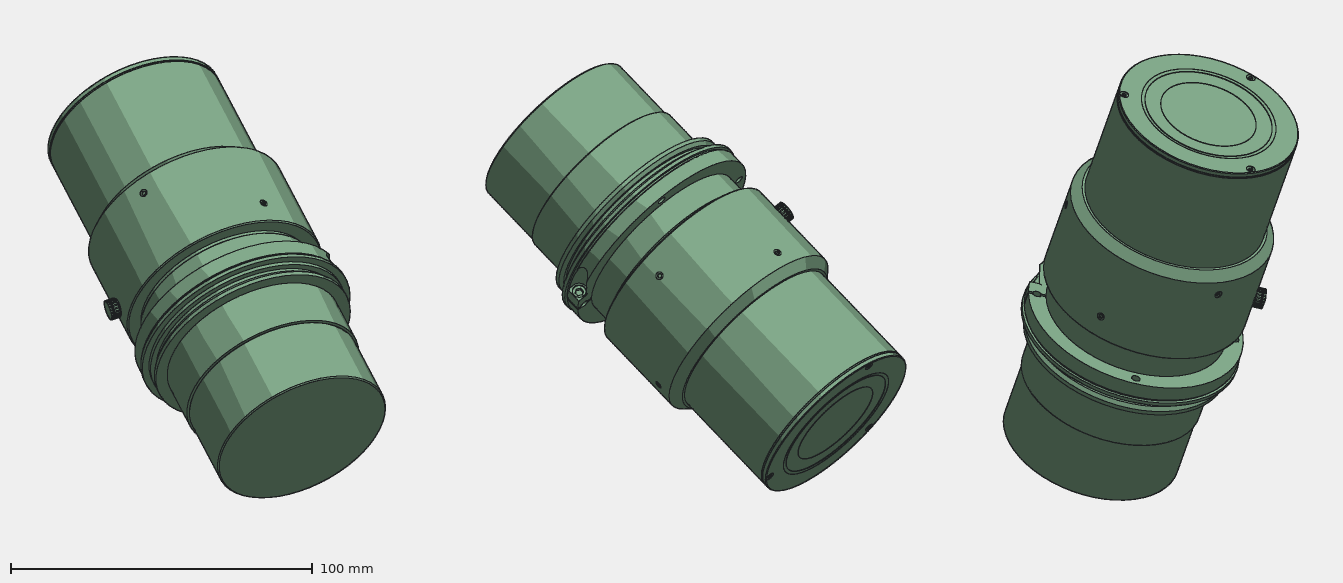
import cadquery as cq

LENGTH = 142.0

BARREL_R = 62.0 / 2
FRONT_CHAMFER = 0.3
GROOVE_START = 1.7
GROOVE_WIDTH = 0.5
GROOVE_DEPTH = 0.1

RING_R = 35.1
RING_START = 40.9
RING_END = 77.0
RING_CONE_R = 32.0
RING_CONE_LENGTH = 3.1
RING_END_CHAMFER = 0.4

NECK_R = 60.6 / 2
NECK_END = 78.1
NECK_CONE_LENGTH = 0.5

FLANGE_R = 37.0
FLANGE_START = 87.6
FLANGE_END = 92.9
RELIEF_R = 36.5
RIM_R = 37.5
RIM_START = 93.7
RIM_END = 95.0

BAYONET_R = 35.1
SHOULDER_END = 96.3
CLAMP_GROOVE_R = 33.1
LIP_START = 98.1
LIP_START_R = 34.1
LIP_FULL = 99.4
LIP_END = 100.8

REAR_R = 60.6 / 2
REAR_START = 117.5
REAR_CHAMFER = 0.4

SEAT_R = 46.5 / 2
SEAT_DEPTH = 0.07
RECESS_R = 43.9 / 2
RECESS_DEPTH = 0.3
LENS_R = 16.5
LENS_STEP = 0.1
LENS_BULGE = 0.3

SCREW_SINK = 0.1
SOCKET_DIA = 1.4
SOCKET_DEPTH = 0.5

FACE_SCREW_DIA = 3.0
FACE_SCREW_CIRCLE_R = 29.1
FACE_SCREW_ANGLES = (60, 180, 300)

RING_SCREW_DIA = 2.5
INDEX_X = 49.4
INDEX_ANGLES = (60, 180, 300)
LOCK_X = 68.9
LOCK_ANGLES = (120, 240)

KNOB_R = 3.4
KNOB_TIP_Y = -39.2
KNOB_STEM_R = 3.0
KNOB_ROOT_Y = -32.7
KNOB_START_Y = -35.5
KNOB_GROOVE_Y = -37.3
KNOB_GROOVE_WIDTH = 0.4
KNOB_GROOVE_R = 3.1
KNOB_DOME_Y = -38.6
KNURL_COUNT = 20
KNURL_R = 0.21

FLANGE_HOLE_DIA = 2.8
FLANGE_HOLE_CIRCLE_R = 34.1
FLANGE_HOLE_DEPTH = 2.8
FLANGE_HOLE_ANGLES = (0, 90, 180, 270)

SPLIT_WIDTH = 1.0
POCKET_X = 90.3
POCKET_Y = 34.1
POCKET_WIDTH = 5.7
POCKET_FLOOR_Z = 6.0
CLAMP_SCREW_DIA = 4.5
CLAMP_SCREW_SINK = 0.7
CLAMP_SOCKET_DIA = 2.8
CLAMP_SOCKET_DEPTH = 1.4


def body():
    """Revolve the whole outer and lens profile about the X axis."""
    lens_edge_x = RECESS_DEPTH + LENS_STEP
    groove_end = GROOVE_START + GROOVE_WIDTH
    groove_r = BARREL_R - GROOVE_DEPTH
    profile = (
        cq.Workplane("XY")
        .moveTo(lens_edge_x - LENS_BULGE, 0)
        .radiusArc((lens_edge_x, LENS_R), (LENS_R**2 + LENS_BULGE**2) / (2 * LENS_BULGE))
        .lineTo(RECESS_DEPTH, LENS_R)
        .lineTo(RECESS_DEPTH, RECESS_R)
        .lineTo(SEAT_DEPTH, RECESS_R)
        .lineTo(SEAT_DEPTH, SEAT_R)
        .lineTo(0, SEAT_R)
        .lineTo(0, BARREL_R - FRONT_CHAMFER)
        .lineTo(FRONT_CHAMFER, BARREL_R)
        .lineTo(GROOVE_START, BARREL_R)
        .lineTo(GROOVE_START, groove_r)
        .lineTo(groove_end, groove_r)
        .lineTo(groove_end, BARREL_R)
        .lineTo(RING_START, BARREL_R)
        .lineTo(RING_START, RING_CONE_R)
        .lineTo(RING_START + RING_CONE_LENGTH, RING_R)
        .lineTo(RING_END - RING_END_CHAMFER, RING_R)
        .lineTo(RING_END, RING_R - RING_END_CHAMFER)
        .lineTo(RING_END, NECK_R)
        .lineTo(NECK_END, NECK_R)
        .lineTo(NECK_END + NECK_CONE_LENGTH, BARREL_R)
        .lineTo(FLANGE_START, BARREL_R)
        .lineTo(FLANGE_START, FLANGE_R)
        .lineTo(FLANGE_END, FLANGE_R)
        .lineTo(FLANGE_END, RELIEF_R)
        .lineTo(RIM_START, RELIEF_R)
        .lineTo(RIM_START, RIM_R)
        .lineTo(RIM_END, RIM_R)
        .lineTo(RIM_END, BAYONET_R)
        .lineTo(SHOULDER_END, BAYONET_R)
        .lineTo(SHOULDER_END, CLAMP_GROOVE_R)
        .lineTo(LIP_START, CLAMP_GROOVE_R)
        .lineTo(LIP_START, LIP_START_R)
        .lineTo(LIP_FULL, BAYONET_R)
        .lineTo(LIP_END, BAYONET_R)
        .lineTo(LIP_END, BARREL_R)
        .lineTo(REAR_START, BARREL_R)
        .lineTo(REAR_START, REAR_R - REAR_CHAMFER)
        .lineTo(REAR_START + REAR_CHAMFER, REAR_R)
        .lineTo(LENGTH - REAR_CHAMFER, REAR_R)
        .lineTo(LENGTH, REAR_R - REAR_CHAMFER)
        .lineTo(LENGTH, 0)
        .close()
    )
    return profile.revolve(360, (0, 0, 0), (1, 0, 0))


def screw_recess(diameter):
    """Stepped recess above one set screw, sunk along +X from the origin and open behind it."""
    sink = cq.Workplane("YZ").circle(diameter / 2).extrude(SCREW_SINK, both=True)
    socket = cq.Workplane("YZ").circle(SOCKET_DIA / 2).extrude(SCREW_SINK + SOCKET_DEPTH)
    return sink.union(socket)


def around_axis(tool, angles):
    """Copies of a tool that sits on the -Y side, turned about X towards +Z."""
    copies = cq.Workplane("XY")
    for angle in angles:
        copies = copies.add(tool.rotate((0, 0, 0), (1, 0, 0), -angle))
    return copies.combine()


def face_screws():
    """Recesses of the set screws in the front face."""
    recess = screw_recess(FACE_SCREW_DIA).translate((0, -FACE_SCREW_CIRCLE_R, 0))
    return around_axis(recess, FACE_SCREW_ANGLES)


def ring_screws(x, angles):
    """Recesses of the radial set screws in the ring at station x."""
    recess = screw_recess(RING_SCREW_DIA).rotate((0, 0, 0), (0, 0, 1), 90)
    return around_axis(recess.translate((x, -RING_R, 0)), angles)


def flange_holes():
    """Blind holes drilled along X into the front of the flange."""
    hole = (
        cq.Workplane("YZ", origin=(FLANGE_START, -FLANGE_HOLE_CIRCLE_R, 0))
        .circle(FLANGE_HOLE_DIA / 2)
        .extrude(FLANGE_HOLE_DEPTH)
    )
    return around_axis(hole, FLANGE_HOLE_ANGLES)


def knob():
    """Knurled locking knob, revolved about its own radial axis."""
    groove_end_y = KNOB_GROOVE_Y - KNOB_GROOVE_WIDTH
    dome_rise = KNOB_DOME_Y - KNOB_TIP_Y
    dome_sphere_r = (KNOB_R**2 + dome_rise**2) / (2 * dome_rise)
    solid = (
        cq.Workplane("XY")
        .moveTo(0, KNOB_ROOT_Y)
        .lineTo(KNOB_STEM_R, KNOB_ROOT_Y)
        .lineTo(KNOB_STEM_R, KNOB_START_Y)
        .lineTo(KNOB_R, KNOB_START_Y)
        .lineTo(KNOB_R, KNOB_GROOVE_Y)
        .lineTo(KNOB_GROOVE_R, KNOB_GROOVE_Y)
        .lineTo(KNOB_GROOVE_R, groove_end_y)
        .lineTo(KNOB_R, groove_end_y)
        .lineTo(KNOB_R, KNOB_DOME_Y)
        .radiusArc((0, KNOB_TIP_Y), dome_sphere_r)
        .close()
        .revolve(360, (0, 0, 0), (0, 1, 0))
    )
    flutes = (
        cq.Workplane("XZ", origin=(0, KNOB_START_Y, 0))
        .polarArray(KNOB_R, 0, 360, KNURL_COUNT)
        .circle(KNURL_R)
        .extrude(KNOB_START_Y - KNOB_TIP_Y)
    )
    return solid.cut(flutes).translate((LOCK_X, 0, 0))


def clamp_split():
    """Narrow radial slit through the flange on the +Y side."""
    flange_width = FLANGE_END - FLANGE_START
    slit_depth = RIM_R - BARREL_R
    slit = cq.Workplane("XY").box(flange_width, slit_depth, SPLIT_WIDTH, centered=(False, False, True))
    return slit.translate((FLANGE_START, BARREL_R, 0))


def screw_pocket():
    """Round-ended pocket over the clamp screw, open towards +Y and upwards."""
    height = RIM_R - POCKET_FLOOR_Z
    floor = cq.Workplane("XY", origin=(POCKET_X, POCKET_Y, POCKET_FLOOR_Z))
    round_end = floor.circle(POCKET_WIDTH / 2).extrude(height)
    mouth = floor.box(POCKET_WIDTH, RIM_R - POCKET_Y, height, centered=(True, False, False))
    return round_end.union(mouth)


def clamp_screw():
    """Recess of the clamp screw in the pocket floor, with its hexagon socket."""
    floor = cq.Workplane("XY", origin=(POCKET_X, POCKET_Y, POCKET_FLOOR_Z))
    sink = floor.circle(CLAMP_SCREW_DIA / 2).extrude(-CLAMP_SCREW_SINK)
    socket = floor.polygon(6, CLAMP_SOCKET_DIA).extrude(-(CLAMP_SCREW_SINK + CLAMP_SOCKET_DEPTH))
    return sink.union(socket)


result = (
    body()
    .cut(face_screws())
    .cut(ring_screws(INDEX_X, INDEX_ANGLES))
    .cut(ring_screws(LOCK_X, LOCK_ANGLES))
    .cut(flange_holes())
    .cut(clamp_split())
    .cut(screw_pocket())
    .cut(clamp_screw())
    .union(knob())
)